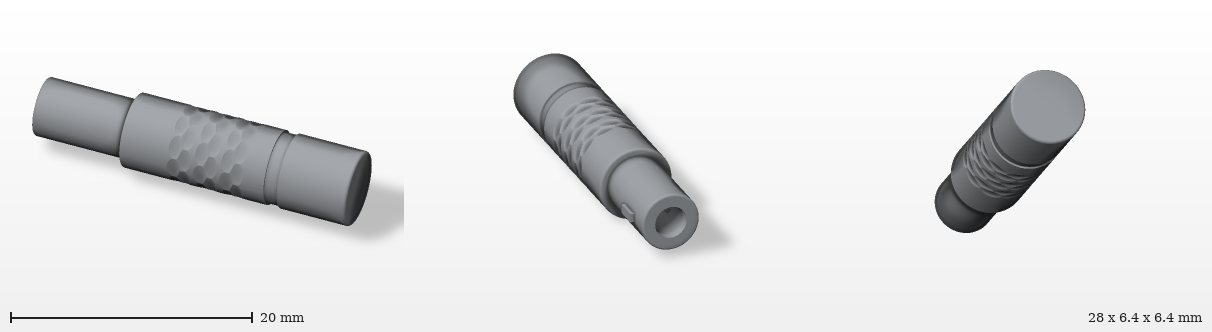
import cadquery as cq

total_length = 28.0
body_diameter = 6.4
body_radius = body_diameter / 2
front_x = -total_length / 2

nose_length = 7.95
nose_radius = 2.52
nose_edge = 0.2
shoulder_x = front_x + nose_length

body_edge = 0.22
groove_start = 20.78
groove_width = 1.18
groove_depth = 0.17

bore_radius = 1.4
bore_depth = nose_length
pin_radius = 0.25
pin_edge = pin_radius / 2
pin_offset = 0.62
pin_recess = 2.25

key_start = 1.93
key_length = 2.07
key_width = 0.75
key_height = 0.35

band_count = 3
band_pitch = 2.32
first_row_distance = 12.8
row_spacing = 0.87
scallops_per_row = 10
scallop_angle = 360 / scallops_per_row
scallop_depth = 0.16
scallop_radius = 1.12
scallop_cutter_length = body_radius


def cylinder_x(start_x, length, radius):
    """Solid cylinder along +X starting at start_x."""
    return cq.Workplane("YZ", origin=(start_x, 0, 0)).circle(radius).extrude(length)


def make_shell():
    """Nose, sleeve and collet nut with rounded end edges and the groove."""
    nose = cylinder_x(front_x, nose_length, nose_radius)
    nose = nose.faces("<X").edges().fillet(nose_edge)
    body = cylinder_x(shoulder_x, total_length - nose_length, body_radius)
    body = body.faces("<X or >X").edges().fillet(body_edge)
    groove_x = front_x + groove_start
    groove = cylinder_x(groove_x, groove_width, body_radius).cut(
        cylinder_x(groove_x, groove_width, body_radius - groove_depth)
    )
    return body.union(nose).cut(groove)


def make_scallop_row(row_x, start_angle):
    """Ring of cutters: cylinders lying tangentially to the sleeve."""
    axis_distance = body_radius - scallop_depth + scallop_radius
    cutter = (
        cq.Workplane("XZ", origin=(row_x, scallop_cutter_length / 2, axis_distance))
        .circle(scallop_radius)
        .extrude(scallop_cutter_length)
    )
    return [
        cutter.rotate((0, 0, 0), (1, 0, 0), start_angle + i * scallop_angle).val()
        for i in range(scallops_per_row)
    ]


def cut_grip(shell):
    """Cut every scallop, the second row of each band turned by half a pitch."""
    cutters = []
    for band in range(band_count):
        row_x = front_x + first_row_distance + band * band_pitch
        cutters += make_scallop_row(row_x, scallop_angle / 2)
        cutters += make_scallop_row(row_x + row_spacing, 0)
    return cq.Workplane(shell.val().cut(*cutters))


def make_key():
    """Flat key standing on the nose, rooted inside its wall."""
    root_y = (bore_radius + nose_radius) / 2
    height = nose_radius + key_height - root_y
    key = cq.Workplane("XY").box(key_length, height, key_width, centered=(False, False, True))
    return key.translate((front_x + key_start, root_y, 0))


def make_pin(pin_y):
    """Round-nosed pin standing on the bore floor."""
    pin = cylinder_x(front_x + pin_recess, bore_depth - pin_recess, pin_radius)
    return pin.faces("<X").edges().fillet(pin_edge).translate((0, pin_y, 0))


result = cut_grip(make_shell())
result = result.cut(cylinder_x(front_x, bore_depth, bore_radius))
result = result.union(make_key())
for side in (-1, 1):
    result = result.union(make_pin(side * pin_offset))